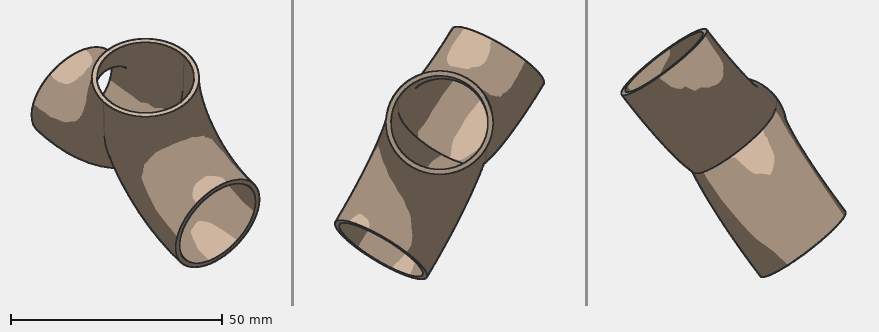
import cadquery as cq

overall_length = 55.0
outer_diameter = 25.4
wall = 1.2

bend_radius = overall_length / 2
outer_radius = outer_diameter / 2
bore_radius = outer_radius - wall
bend_angle = 90


def elbow(radius, side):
    """Solid bend from the inlet at the origin to the outlet at side * bend_radius along X."""
    return (
        cq.Workplane("XY")
        .circle(radius)
        .revolve(bend_angle, (side * bend_radius, 0, 0), (side * bend_radius, -side, 0))
    )


def twin_elbow(radius):
    """Left and right bends joined into one forked solid."""
    return elbow(radius, -1).union(elbow(radius, 1))


result = twin_elbow(outer_radius).cut(twin_elbow(bore_radius))